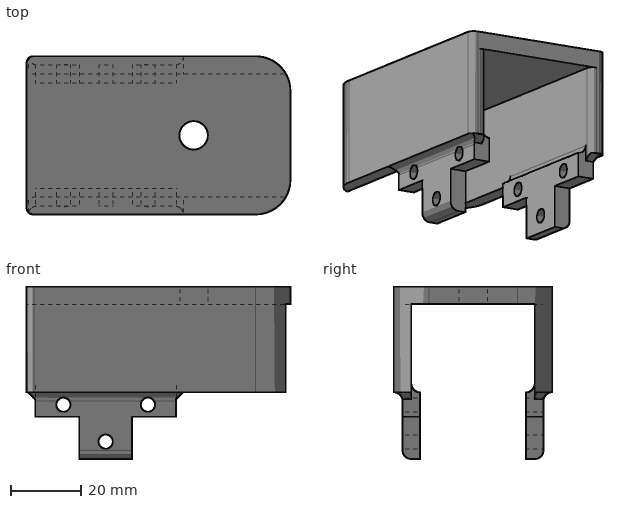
import cadquery as cq
import math

length = 75.0
width = 45.0
cover_height = 30.0
roof_thickness = 4.95
wall_thickness = 5.0
front_outer_radius = 2.0
front_inner_radius = 2.0
rear_radius = 10.0
roof_hole_diameter = 8.0
roof_hole_x = 47.5

flange_thickness = 5.0
flange_inset = 2.5
flange_center_x = 22.5
ledge_length = 40.0
ledge_drop = 7.0
tab_length = 15.0
tab_drop = 19.0
tab_corner_radius = 2.5
blend_radius = 2.5
blend_end_flare = 2.0

pin_diameter = 4.0
ledge_pin_spacing = 24.0
ledge_pin_drop = 3.5
tab_pin_drop = 14.0

half_width = width / 2
wall_inner_y = half_width - wall_thickness
flange_outer_y = half_width - flange_inset
flange_inner_y = flange_outer_y - flange_thickness
blend_arc_offset = blend_radius * (1 - math.sqrt(0.5))


def cover_plan(height):
    """Solid of the cover's outline, standing on Z = 0."""
    block = cq.Workplane("XY").box(length, width, height, centered=(False, True, False))
    return block.edges("|Z and <X").fillet(front_outer_radius).edges("|Z and >X").fillet(rear_radius)


def wall_plan(height):
    """Positive-Y wall standing on Z = 0, open to the rear, with its front inner edge rounded."""
    strip = (
        cq.Workplane("XY")
        .box(length, wall_thickness, height, centered=(False, False, False))
        .translate((0, wall_inner_y, 0))
        .edges("|Z and <X and <Y")
        .fillet(front_inner_radius)
    )
    return strip.intersect(cover_plan(height))


def flange_plate(plate_length, drop):
    """Plate centred along the flange, from Z = 0 down to the drop."""
    return (
        cq.Workplane("XY")
        .box(plate_length, flange_thickness, drop, centered=(True, False, False))
        .translate((flange_center_x, flange_inner_y, -drop))
    )


def inner_blend():
    """Concave fillet from the top of the ledge up to the wall's inner face."""
    return (
        cq.Workplane("YZ", origin=(flange_center_x, 0, 0))
        .moveTo(wall_inner_y, 0)
        .lineTo(flange_inner_y, 0)
        .threePointArc((wall_inner_y - blend_arc_offset, blend_arc_offset), (wall_inner_y, blend_radius))
        .close()
        .extrude(ledge_length / 2, both=True)
    )


def outer_blend():
    """Concave fillet from the wall's underside to the ledge's outer face, flared at 45 degrees at both ends."""
    profile = (
        cq.Workplane("YZ", origin=(flange_center_x, 0, 0))
        .moveTo(wall_inner_y, 0)
        .lineTo(half_width, 0)
        .threePointArc(
            (flange_outer_y + blend_arc_offset, -blend_arc_offset),
            (flange_outer_y, -blend_radius),
        )
        .lineTo(wall_inner_y, -blend_radius)
        .close()
        .extrude(ledge_length / 2 + blend_end_flare, both=True)
    )
    half_ledge = ledge_length / 2
    half_flared = half_ledge + blend_end_flare
    flared_ends = (
        cq.Workplane("XZ", origin=(flange_center_x, 0, 0))
        .polyline([
            (-half_flared, 0),
            (half_flared, 0),
            (half_ledge, -blend_end_flare),
            (half_ledge, -blend_radius),
            (-half_ledge, -blend_radius),
            (-half_ledge, -blend_end_flare),
        ])
        .close()
        .extrude(width, both=True)
    )
    under_wall = wall_plan(blend_radius).translate((0, 0, -blend_radius))
    return profile.intersect(flared_ends).intersect(under_wall)


def pin_holes():
    """Pins running along Y through both flanges."""
    half_spacing = ledge_pin_spacing / 2
    return (
        cq.Workplane("XZ", origin=(flange_center_x, 0, 0))
        .pushPoints([
            (-half_spacing, -ledge_pin_drop),
            (half_spacing, -ledge_pin_drop),
            (0, -tab_pin_drop),
        ])
        .circle(pin_diameter / 2)
        .extrude(width, both=True)
    )


def side():
    """Wall with its flange on the positive-Y side."""
    tab = flange_plate(tab_length, tab_drop).edges("|X and >Y and <Z").fillet(tab_corner_radius)
    ledge = flange_plate(ledge_length, ledge_drop)
    return wall_plan(cover_height).union(ledge).union(tab).union(inner_blend()).union(outer_blend())


roof = cover_plan(roof_thickness).translate((0, 0, cover_height - roof_thickness))
roof_hole = (
    cq.Workplane("XY")
    .center(roof_hole_x, 0)
    .circle(roof_hole_diameter / 2)
    .extrude(cover_height)
)
positive_side = side()
negative_side = positive_side.mirror("XZ")
result = roof.union(positive_side).union(negative_side).cut(roof_hole).cut(pin_holes())